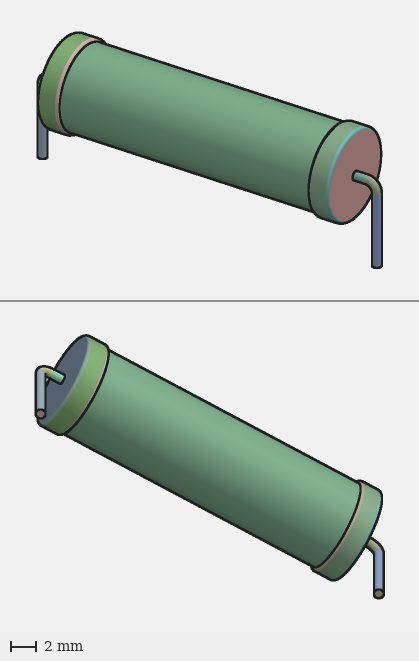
import cadquery as cq

overall_length = 31.8
cap_diameter = 8.0
overall_height = 11.6

body_diameter = 7.5
capped_length = 27.0
cap_length = 1.95
cap_edge_radius = 0.25
body_length = capped_length - 2 * cap_length

lead_diameter = 0.8
bend_radius = 0.95
lead_x = (overall_length - lead_diameter) / 2
lead_bottom_z = cap_diameter / 2 - overall_height
cap_face_x = capped_length / 2


def make_body():
    """Plain cylinder between the two end caps."""
    return (
        cq.Workplane("YZ", origin=(-body_length / 2, 0, 0))
        .circle(body_diameter / 2)
        .extrude(body_length)
    )


def make_cap(side):
    """Disc with both rims rounded, on the end given by side (-1 or 1)."""
    return (
        cq.Workplane("YZ", origin=(side * body_length / 2, 0, 0))
        .circle(cap_diameter / 2)
        .extrude(side * cap_length)
        .edges()
        .fillet(cap_edge_radius)
    )


def make_lead(side):
    """Round wire that leaves the cap face along the axis and bends down."""
    path = (
        cq.Workplane("XZ")
        .moveTo(side * cap_face_x, 0)
        .lineTo(side * (lead_x - bend_radius), 0)
        .tangentArcPoint((side * lead_x, -bend_radius), relative=False)
        .lineTo(side * lead_x, lead_bottom_z)
    )
    return (
        cq.Workplane("YZ", origin=(side * cap_face_x, 0, 0))
        .circle(lead_diameter / 2)
        .sweep(path)
    )


body = make_body()
caps = []
leads = []
for end in (-1, 1):
    caps.append(make_cap(end).val())
    leads.append(make_lead(end).val())

result = cq.Compound.makeCompound([body.val(), *caps, *leads])